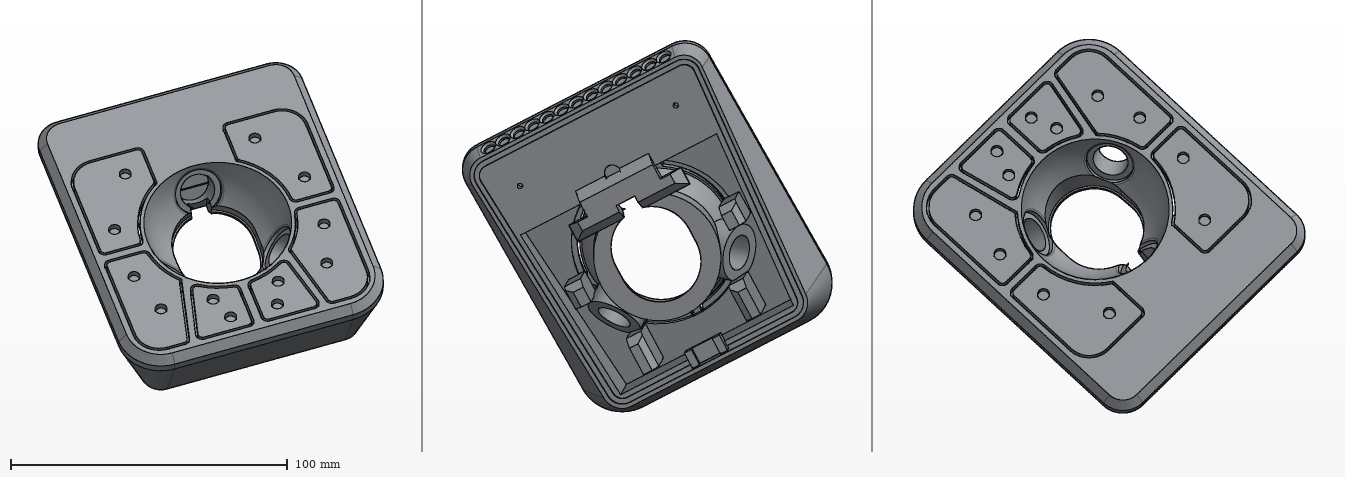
import cadquery as cq
import math

LENGTH = 115.0
WIDTH = 100.0
HEIGHT = 34.71
TOP_CHAMFER = 3.0
BAND_HEIGHT = 3.0
WALL_DRAFT = 20.0
BOTTOM_TILT = 10.0
BOTTOM_DEPTH = 22.3
LEFT_CORNER_RADIUS = 10.0
RIGHT_CORNER_RADIUS = 16.0

RIM_LIP = 1.5
RIM_GROOVE_WIDTH = 2.0
RIM_GROOVE_DEPTH = 1.2
RIM_WIDTH = 5.5
RIM_CORNER_RADIUS = 6.0

ROOF_DEPTH = 5.0
CAVITY_LEFT = -24.0
RELIEF_RADIUS = 31.0
RELIEF_DEPTH = 3.0

BOWL_X = 5.35
BOWL_MOUTH_RADIUS = 26.7
BALL_RISE = 5.0
BOWL_WALL = 1.3
CUP_BASE_RADIUS = 23.0
CUP_BASE_TOP = -14.0
FLOOR_HOLE_X = 4.3
FLOOR_HOLE_WIDTH = 30.0
FLOOR_HOLE_LENGTH = 35.5
FLOOR_HOLE_REACH = 13.6
FLOOR_LIP = 0.7
FLOOR_LIP_HEIGHT = 1.2

SOCKET_ANGLES = (60.0, 180.0, 300.0)
SOCKET_DIP = 34.5
SOCKET_BORE = 12.85
SOCKET_RECESS = 17.35
SOCKET_LIP = 20.0
SOCKET_LIP_START = 25.0
SOCKET_FLARE_END = 26.0
SOCKET_RECESS_END = 27.5
SOCKET_BODY = 21.0
SOCKET_BODY_START = 22.0
SOCKET_BODY_END = 36.0
SOCKET_BORE_END = 36.5

SLIT_WIDTH = 0.9
SLIT_DEPTH = 3.5
SLIT_ARC_RADIUS = 28.5
KEY_TOP = 44.4
KEY_RIGHT = 52.0
KEY_ROUND = 9.5
KEY_SMALL_ROUND = 2.0
REAR_KEY = [(-35.0, KEY_TOP), (5.4, KEY_TOP), (5.4, 20.0), (-15.0, 15.5), (-35.0, 15.5)]
REAR_KEY_ROUNDS = [(0, KEY_ROUND), (1, KEY_SMALL_ROUND), (4, KEY_SMALL_ROUND)]
FRONT_KEY = [(8.8, KEY_TOP), (KEY_RIGHT, KEY_TOP), (KEY_RIGHT, 26.8), (15.0, 18.6), (8.8, 18.6)]
FRONT_KEY_ROUNDS = [(0, KEY_SMALL_ROUND), (1, KEY_ROUND), (2, KEY_SMALL_ROUND)]
SIDE_KEY = [(KEY_RIGHT, 23.5), (KEY_RIGHT, 1.9), (25.0, 1.9), (25.0, 17.2)]
SIDE_KEY_ROUNDS = [(0, KEY_SMALL_ROUND), (1, KEY_SMALL_ROUND)]
KEY_HOLE = 4.3
KEY_HOLE_DEPTH = 2.5
KEY_HOLES = [(-3.8, 36.2), (-25.8, 24.7), (18.1, 36.2), (34.8, 31.6), (36.8, 12.4), (46.2, 8.9)]

ROW_COUNT = 13
ROW_PITCH = 6.0
ROW_DEPTH_BELOW_TOP = 9.3
ROW_HOLE = 4.25
ROW_SINK = 5.9
ROW_SINK_ANGLE = 45.0
ROW_HOLE_DEPTH = 1.6

FOOT_HEIGHT = 4.35
REAR_FOOT_PROFILE = [(-29.4, 0), (-25.5, FOOT_HEIGHT), (-15.8, FOOT_HEIGHT), (-12.6, 0)]
REAR_WING_PROFILE = [(-19.5, 0), (-19.5, FOOT_HEIGHT), (-15.8, FOOT_HEIGHT), (-12.6, 0)]
MIDDLE_POST_PROFILE = [(-0.4, 0), (2.4, FOOT_HEIGHT), (8.5, FOOT_HEIGHT), (8.5, 0)]
FRONT_POST_PROFILE = [(26.6, 0), (29.8, FOOT_HEIGHT), (40.7, FOOT_HEIGHT), (40.7, 0)]
REAR_FOOT_WIDTH = 30.0
REAR_WING_WIDTH = 46.0
REAR_WING_BEVEL = 4.0
REAR_NOTCH_WIDTH = 7.6
REAR_NOTCH_X = -18.3
REAR_FOOT_ROOT = 1.0
POST_ROOT = 19.0
MIDDLE_POST_Y = (28.4, 35.0)
POST_BEVEL = 2.5
FRONT_POST_Y = (18.0, 24.0)
BRACKET_WIDTH = 14.4
BRACKET_GAP = 8.6
BRACKET_WEB = 1.4
BRACKET_LENGTH = 6.3
BRACKET_ROOT = 1.5

PILOT_HOLE = 1.9
PILOT_U = -40.3
PILOT_Y = 32.0
PILOT_DEPTH = 5.0
REAR_HOLE = 6.0
REAR_HOLE_U = -29.0
REAR_HOLE_DEPTH = 2.0
REAR_HOLE_START = 0.8

BOWL_RADIUS = math.hypot(BOWL_MOUTH_RADIUS, BALL_RISE)
CUP_RADIUS = BOWL_RADIUS + BOWL_WALL
TILT = math.radians(BOTTOM_TILT)
DRAFT_RATIO = math.tan(math.radians(WALL_DRAFT))
BAND_BOTTOM = TOP_CHAMFER + BAND_HEIGHT
DRAFTED_DEPTH = LEFT_CORNER_RADIUS / DRAFT_RATIO - 1.0
BIG = 200.0
FOOT_TIP_U = (HEIGHT - BOTTOM_DEPTH - FOOT_HEIGHT * math.cos(TILT)) / math.sin(TILT)


def under_plane():
    """Workplane on the underside: local x runs downhill, local y along -Y, normal downward."""
    return cq.Workplane(cq.Plane(
        origin=(0, 0, -BOTTOM_DEPTH),
        xDir=(math.cos(TILT), 0, -math.sin(TILT)),
        normal=(-math.sin(TILT), 0, -math.cos(TILT)),
    ))


def below_underside():
    return under_plane().rect(BIG, BIG).extrude(BIG)


def mirrored(solid):
    return solid.union(solid.mirror("XZ"))


def plan_block(top, height):
    """Upright block with the plan outline of the part."""
    block = cq.Workplane("XY").workplane(offset=top - height).rect(LENGTH, WIDTH).extrude(height)
    block = block.edges("|Z and <X").fillet(LEFT_CORNER_RADIUS)
    return block.edges("|Z and >X").fillet(RIGHT_CORNER_RADIUS)


def outer_body():
    band = plan_block(0, BAND_BOTTOM).faces(">Z").chamfer(TOP_CHAMFER)
    drafted = (
        plan_block(-BAND_BOTTOM, 1).faces(">Z").wires().toPending()
        .workplane().extrude(-DRAFTED_DEPTH, combine=False, taper=WALL_DRAFT)
    )
    return band.union(drafted).cut(below_underside())


def underside_outline(inset):
    """Outline of the underside, moved inward by the inset; narrower at the deep end."""
    ends = []
    drop = BOTTOM_DEPTH - BAND_BOTTOM
    for side in (-1, 1):
        x = side * (LENGTH / 2 - drop * DRAFT_RATIO) / (1 + side * DRAFT_RATIO * math.tan(TILT))
        half_width = WIDTH / 2 - (drop + x * math.tan(TILT)) * DRAFT_RATIO
        ends.append((x / math.cos(TILT), half_width))
    (u0, w0), (u1, w1) = ends
    return (
        under_plane().polyline([(u0 + inset, inset - w0), (u1 - inset, inset - w1),
                                (u1 - inset, w1 - inset), (u0 + inset, w0 - inset)]).close()
    )


def rim_groove():
    outer = underside_outline(RIM_LIP).extrude(-RIM_GROOVE_DEPTH)
    inner = underside_outline(RIM_LIP + RIM_GROOVE_WIDTH).extrude(-RIM_GROOVE_DEPTH)
    direction = under_plane().plane.zDir
    along = cq.selectors.ParallelDirSelector(direction)
    return outer.edges(along).fillet(RIM_CORNER_RADIUS).cut(
        inner.edges(along).fillet(RIM_CORNER_RADIUS - RIM_GROOVE_WIDTH))


def cavity():
    opening = underside_outline(RIM_WIDTH).extrude(BIG, both=True)
    right_side = cq.Workplane("XY").center(CAVITY_LEFT + LENGTH / 2, 0).rect(LENGTH, WIDTH).extrude(-HEIGHT)
    main_room = right_side.translate((0, 0, -ROOF_DEPTH))
    relief = (
        cq.Workplane("XY").workplane(offset=-RELIEF_DEPTH)
        .center(BOWL_X, 0).circle(RELIEF_RADIUS).extrude(-HEIGHT)
    )
    return opening.intersect(main_room.union(relief.intersect(right_side)))


def bowl_cup():
    cup = cq.Workplane("XY").sphere(CUP_RADIUS).translate((BOWL_X, 0, BALL_RISE))
    base = (
        cq.Workplane("XY").workplane(offset=CUP_BASE_TOP)
        .center(BOWL_X, 0).circle(CUP_BASE_RADIUS).extrude(-HEIGHT)
    )
    above = cq.Workplane("XY").rect(BIG, BIG).extrude(BIG)
    return cup.union(base).cut(above).cut(below_underside())


def bowl_opening():
    ball = cq.Workplane("XY").sphere(BOWL_RADIUS).translate((BOWL_X, 0, BALL_RISE)).cut(below_underside())
    floor_hole = (
        under_plane().center(FLOOR_HOLE_X / math.cos(TILT), 0)
        .slot2D(FLOOR_HOLE_LENGTH, FLOOR_HOLE_WIDTH).extrude(FLOOR_HOLE_REACH, both=True)
    )
    wide_hole = (
        under_plane().workplane(offset=-FLOOR_LIP_HEIGHT).center(FLOOR_HOLE_X / math.cos(TILT), 0)
        .slot2D(FLOOR_HOLE_LENGTH + 2 * FLOOR_LIP, FLOOR_HOLE_WIDTH + 2 * FLOOR_LIP).extrude(-FLOOR_HOLE_REACH)
    )
    return ball.union(floor_hole).union(wide_hole)


def socket_axis(angle):
    """Unit vector of a bearing axis, turned about Z and dipping downward."""
    dip = math.radians(SOCKET_DIP)
    turn = math.radians(angle)
    return cq.Vector(math.cos(dip) * math.cos(turn), math.cos(dip) * math.sin(turn), -math.sin(dip))


def socket_cylinder(angle, diameter, start, end):
    """Cylinder on a bearing axis, between two distances from the bowl centre."""
    axis = socket_axis(angle)
    base = cq.Vector(BOWL_X, 0, BALL_RISE) + axis * start
    return cq.Workplane(cq.Solid.makeCylinder(diameter / 2, end - start, base, axis))


def socket_opening(angle):
    """Bearing bore with a recessed seat and a flared mouth."""
    axis = socket_axis(angle)
    mouth = cq.Vector(BOWL_X, 0, BALL_RISE) + axis * SOCKET_LIP_START
    flare_length = SOCKET_FLARE_END - SOCKET_LIP_START
    flare = cq.Solid.makeCone(SOCKET_LIP / 2, SOCKET_RECESS / 2, flare_length, mouth, axis)
    bore = socket_cylinder(angle, SOCKET_BORE, 0, SOCKET_BORE_END)
    seat = socket_cylinder(angle, SOCKET_RECESS, SOCKET_LIP_START, SOCKET_RECESS_END)
    return bore.union(seat).union(cq.Workplane(flare))


def foot(profile, root, y_near, y_far):
    """Prism across Y from a foot profile, extended upward by the root height."""
    first, last = profile[0], profile[-1]
    points = [(first[0], -root)] + profile + [(last[0], -root)]
    plane = cq.Plane(
        origin=(0, y_near, -BOTTOM_DEPTH),
        xDir=(math.cos(TILT), 0, -math.sin(TILT)),
        normal=(0, 1, 0),
    )
    return cq.Workplane(plane).polyline(points).close().extrude(y_far - y_near)


def lowest_faces(solid):
    """Faces parallel to the underside at the low end of a foot."""
    return solid.faces(cq.selectors.DirectionMinMaxSelector(under_plane().plane.zDir))


def rear_foot():
    """Wedge behind the rear socket with a bevelled wing on each side."""
    wedge = foot(REAR_FOOT_PROFILE, REAR_FOOT_ROOT, -REAR_FOOT_WIDTH / 2, REAR_FOOT_WIDTH / 2)
    wings = foot(REAR_WING_PROFILE, REAR_FOOT_ROOT, -REAR_WING_WIDTH / 2, REAR_WING_WIDTH / 2)
    wings = lowest_faces(wings).edges("<Y or >Y").chamfer(REAR_WING_BEVEL)
    return wedge.union(wings)


def rear_notch():
    return (
        under_plane().workplane(offset=FOOT_HEIGHT)
        .center((REAR_NOTCH_X + FLOOR_HOLE_X) / 2, 0)
        .rect(FLOOR_HOLE_X - REAR_NOTCH_X, REAR_NOTCH_WIDTH).extrude(-2 * FOOT_HEIGHT)
    )


def middle_post():
    post = foot(MIDDLE_POST_PROFILE, POST_ROOT, *MIDDLE_POST_Y)
    return lowest_faces(post).edges(">Y").chamfer(POST_BEVEL)


def front_post():
    post = foot(FRONT_POST_PROFILE, POST_ROOT, *FRONT_POST_Y)
    return lowest_faces(post).edges("<Y").chamfer(POST_BEVEL)


def front_bracket():
    """U-shaped bracket whose two legs are the lowest points of the part."""
    start = FOOT_TIP_U - BRACKET_LENGTH
    leg_profile = [(start, 0), (start, FOOT_HEIGHT), (FOOT_TIP_U, FOOT_HEIGHT), (FOOT_TIP_U, 0)]
    block = foot(leg_profile, BRACKET_ROOT, -BRACKET_WIDTH / 2, BRACKET_WIDTH / 2)
    gap = (
        under_plane().workplane(offset=BRACKET_WEB).center(FOOT_TIP_U - BRACKET_LENGTH / 2, 0)
        .rect(BRACKET_LENGTH, BRACKET_GAP).extrude(FOOT_HEIGHT)
    )
    return block.cut(gap)


def key_prism(points, rounds, scooped):
    """Key blank: plan polygon scooped along the bowl, with rounded corners.

    Corners listed in scooped lie inside the bowl; the edges the scoop leaves near them are rounded.
    """
    blank = cq.Workplane("XY").polyline(points).close().extrude(-SLIT_DEPTH)
    scoop = cq.Workplane("XY").center(BOWL_X, 0).circle(SLIT_ARC_RADIUS).extrude(-SLIT_DEPTH)
    blank = blank.cut(scoop)
    for corner, radius in rounds + [(corner, KEY_SMALL_ROUND) for corner in scooped]:
        x, y = points[corner]
        near = cq.selectors.NearestToPointSelector((x, y, -SLIT_DEPTH / 2))
        blank = blank.edges("|Z").edges(near).fillet(radius)
    return blank


def key_slit(points, rounds, scooped):
    blank = key_prism(points, rounds, scooped)
    outline = blank.faces(">Z").wires()
    outer = outline.toPending().offset2D(SLIT_WIDTH / 2).extrude(-SLIT_DEPTH, combine=False)
    inner = outline.toPending().offset2D(-SLIT_WIDTH / 2).extrude(-SLIT_DEPTH, combine=False)
    return outer.cut(inner)


def key_slits():
    slits = key_slit(REAR_KEY, REAR_KEY_ROUNDS, [2])
    slits = slits.union(key_slit(FRONT_KEY, FRONT_KEY_ROUNDS, [4]))
    slits = slits.union(key_slit(SIDE_KEY, SIDE_KEY_ROUNDS, [2, 3]))
    return mirrored(slits)


def key_holes():
    return mirrored(cq.Workplane("XY").pushPoints(KEY_HOLES).circle(KEY_HOLE / 2).extrude(-KEY_HOLE_DEPTH))


def row_holes():
    """Countersunk holes square to the drafted left wall."""
    lean = math.radians(WALL_DRAFT)
    wall_x = -LENGTH / 2 + (ROW_DEPTH_BELOW_TOP - BAND_BOTTOM) * DRAFT_RATIO
    wall = cq.Workplane(cq.Plane(
        origin=(wall_x, 0, -ROW_DEPTH_BELOW_TOP),
        xDir=(0, 1, 0),
        normal=(math.cos(lean), 0, math.sin(lean)),
    ))
    places = [((i - (ROW_COUNT - 1) / 2) * ROW_PITCH, 0) for i in range(ROW_COUNT)]
    sink_depth = (ROW_SINK - ROW_HOLE) / 2 / math.tan(math.radians(ROW_SINK_ANGLE))
    holes = wall.pushPoints(places).circle(ROW_HOLE / 2).extrude(ROW_HOLE_DEPTH)
    sinks = wall.pushPoints(places).circle(ROW_SINK / 2).extrude(sink_depth, taper=ROW_SINK_ANGLE)
    return holes.union(sinks)


def underside_holes():
    pilots = (
        under_plane().pushPoints([(PILOT_U, PILOT_Y), (PILOT_U, -PILOT_Y)])
        .circle(PILOT_HOLE / 2).extrude(-PILOT_DEPTH)
    )
    rear = (
        under_plane().workplane(offset=REAR_HOLE_START).center(REAR_HOLE_U, 0)
        .circle(REAR_HOLE / 2).extrude(-REAR_HOLE_START - REAR_HOLE_DEPTH)
    )
    return pilots.union(rear)


shell = outer_body()
socket_bodies = bowl_cup()
for socket_angle in SOCKET_ANGLES:
    socket_bodies = socket_bodies.union(
        socket_cylinder(socket_angle, SOCKET_BODY, SOCKET_BODY_START, SOCKET_BODY_END))
inside_parts = socket_bodies.intersect(shell)

result = shell.cut(cavity()).cut(rim_groove()).union(inside_parts)
for part in (rear_foot(), mirrored(middle_post()), mirrored(front_post()), front_bracket()):
    result = result.union(part)
result = result.cut(bowl_opening()).cut(rear_notch())
for socket_angle in SOCKET_ANGLES:
    result = result.cut(socket_opening(socket_angle))
result = result.cut(key_slits()).cut(key_holes()).cut(row_holes()).cut(underside_holes())